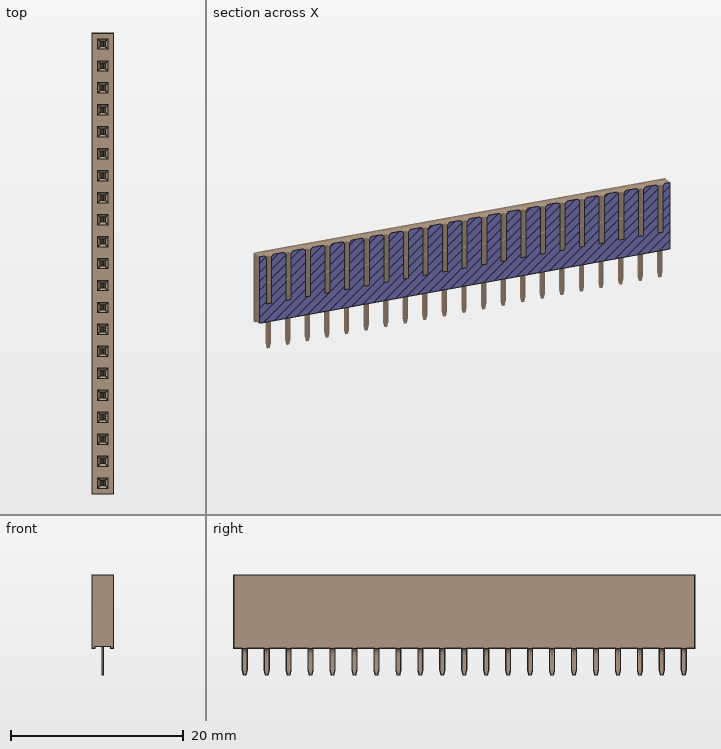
import cadquery as cq

contact_count = 21
pitch = 2.54

housing_width = pitch
housing_length = contact_count * pitch
housing_height = 8.5

rail_width = 0.4
rail_height = 0.2
channel_width = housing_width - 2 * rail_width

lead_in_width = 1.2
lead_in_depth = 0.3
socket_width = 0.6
socket_depth = 6.0
socket_floor_z = housing_height - socket_depth

blade_width = 0.5
blade_thickness = 0.2
blade_height = 2.5

pin_length = 3.1
pin_width = 0.6
pin_thickness = blade_thickness
tip_length = 0.6
tip_width = 0.3

contact_positions = [(index - (contact_count - 1) / 2) * pitch for index in range(contact_count)]


def make_housing():
    """Bar standing on two rails."""
    block = cq.Workplane("XY").box(housing_width, housing_length, housing_height, centered=(True, True, False))
    channel = cq.Workplane("XY").box(channel_width, housing_length, rail_height, centered=(True, True, False))
    return block.cut(channel)


def make_opening(y):
    """Tapered lead-in and square socket, sunk from the top face."""
    lead_in = (
        cq.Workplane("XY", origin=(0, y, housing_height))
        .rect(lead_in_width, lead_in_width)
        .workplane(offset=-lead_in_depth)
        .rect(socket_width, socket_width)
        .loft(ruled=True)
    )
    socket = (
        cq.Workplane("XY", origin=(0, y, socket_floor_z))
        .rect(socket_width, socket_width)
        .extrude(socket_depth - lead_in_depth)
    )
    return lead_in.union(socket)


def make_blade(y):
    """Upright contact blade standing on the socket floor."""
    return (
        cq.Workplane("XY", origin=(0, y, socket_floor_z))
        .rect(blade_thickness, blade_width)
        .extrude(blade_height)
    )


def make_pin(y):
    """Flat strip hanging from the channel floor, narrowed to its tip."""
    shoulder_z = tip_length - pin_length
    return (
        cq.Workplane("YZ", origin=(-pin_thickness / 2, y, 0))
        .moveTo(-pin_width / 2, rail_height)
        .lineTo(-pin_width / 2, shoulder_z)
        .lineTo(-tip_width / 2, -pin_length)
        .lineTo(tip_width / 2, -pin_length)
        .lineTo(pin_width / 2, shoulder_z)
        .lineTo(pin_width / 2, rail_height)
        .close()
        .extrude(pin_thickness)
    )


result = make_housing()
for contact_y in contact_positions:
    result = result.cut(make_opening(contact_y))
    result = result.union(make_blade(contact_y))
    result = result.union(make_pin(contact_y))